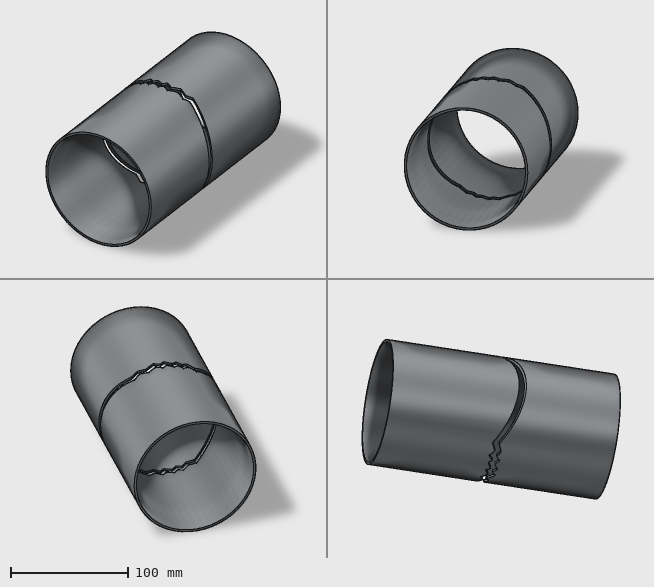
import cadquery as cq

TUBE_LENGTH = 200.0
OUTER_DIAMETER = 108.0
INNER_DIAMETER = 104.0

OUTER_RADIUS = OUTER_DIAMETER / 2
HALF_LENGTH = TUBE_LENGTH / 2
SIDE_MARGIN = 2.0
CUTTER_HALF_WIDTH = OUTER_RADIUS + SIDE_MARGIN
CUTTER_HEIGHT = OUTER_DIAMETER + 2 * SIDE_MARGIN

BACK_BREAK_EDGE = [
    (-OUTER_RADIUS, -10.8),
    (-27.8, 6.0),
    (-21.5, 2.5),
    (-16.2, 6.0),
    (-12.2, 2.2),
    (-8.5, 4.8),
    (-2.2, 1.2),
    (1.5, 4.5),
    (7.5, 1.2),
    (14.5, 5.5),
    (21.8, 2.2),
    (27.0, 5.5),
    (OUTER_RADIUS, -5.5),
]
FRONT_BREAK_EDGE = [
    (-OUTER_RADIUS, -17.2),
    (-27.8, 0.2),
    (-21.0, -3.5),
    (-16.8, -0.5),
    (-12.5, -4.0),
    (-8.2, -1.0),
    (-1.8, -5.0),
    (2.2, -1.5),
    (7.5, -5.0),
    (15.5, -0.5),
    (22.0, -3.2),
    (27.8, -0.5),
    (OUTER_RADIUS, -10.8),
]


def full_tube():
    """The unbroken tube, centred on the origin."""
    return (
        cq.Workplane("XZ")
        .circle(OUTER_RADIUS)
        .circle(INNER_DIAMETER / 2)
        .extrude(HALF_LENGTH, both=True)
    )


def tube_half(break_edge, end_y):
    """The part of the tube between its flat end at end_y and the jagged break edge."""
    first_y = break_edge[0][1]
    last_y = break_edge[-1][1]
    outline = [
        (-CUTTER_HALF_WIDTH, end_y),
        (-CUTTER_HALF_WIDTH, first_y),
        *break_edge,
        (CUTTER_HALF_WIDTH, last_y),
        (CUTTER_HALF_WIDTH, end_y),
    ]
    kept_region = cq.Workplane("XY").polyline(outline).close().extrude(CUTTER_HEIGHT / 2, both=True)
    return full_tube().intersect(kept_region).solids()


back_half = tube_half(BACK_BREAK_EDGE, HALF_LENGTH)
front_half = tube_half(FRONT_BREAK_EDGE, -HALF_LENGTH)

result = cq.Compound.makeCompound([back_half.val(), front_half.val()])